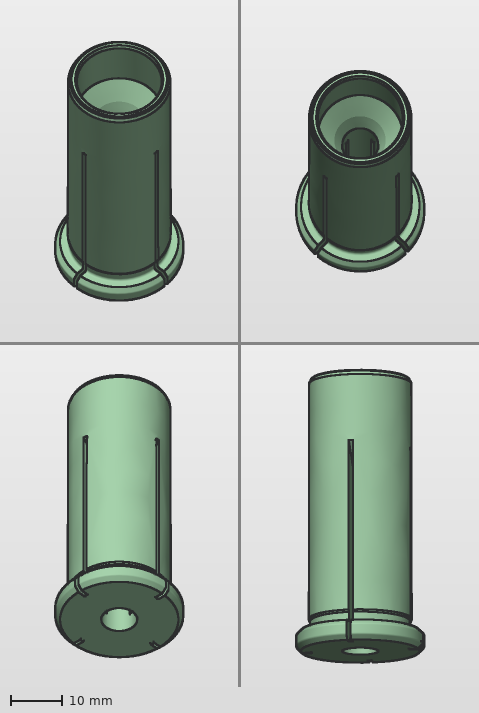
import cadquery as cq
import math

height = 54.0
flange_radius = 25.0 / 2
body_top_radius = 20.0 / 2
body_base_radius = 10.05

flange_height = 4.0
flange_chamfer = 0.95
flange_edge_round = 0.55

neck_radius = 9.85
neck_fillet = 0.5
neck_top = 5.9
body_base = 6.3

rim_radius = 9.3
rim_round_radius = 9.6
rim_round_base = 53.8
rim_chamfer_base = 53.05
rim_inner_width = 0.3
rim_inner_depth = 0.6

socket_radius = 16.5 / 2
socket_floor = 44.15
seat_radius = 10.0 / 2
bore_radius = 7.0 / 2
seat_slope = 45.0
throat_slope = 60.0

slot_count = 4
slot_width = 0.8
slot_top = 39.95
slot_roof_slope = 45.0
slot_floor_radius = 9.85
slot_floor_rise = 3.9
slot_overrun = 1.1


def rise(run, slope):
    """Height gained over a horizontal run at a slope in degrees."""
    return run * math.tan(math.radians(slope))


def make_sleeve():
    """Revolve the outer and inner profile of the flanged sleeve."""
    seat_bottom = socket_floor - rise(socket_radius - seat_radius, seat_slope)
    throat_bottom = seat_bottom - rise(seat_radius - bore_radius, throat_slope)
    chamfered_radius = flange_radius - flange_chamfer
    flange_side_top = flange_height - flange_chamfer

    side_setback = flange_edge_round * math.tan(math.radians(22.5))
    chamfer_setback = side_setback * math.sqrt(0.5)
    round_end_radius = flange_radius - chamfer_setback
    fillet_mid = neck_fillet * (1 - math.sqrt(0.5))
    round_mid_radius = flange_radius - flange_edge_round * (1 - math.cos(math.radians(22.5)))
    round_mid_rise = flange_edge_round * math.sin(math.radians(22.5)) - side_setback

    profile = (
        cq.Workplane("XZ")
        .moveTo(bore_radius, 0)
        .lineTo(chamfered_radius, 0)
        .lineTo(round_end_radius, flange_chamfer - chamfer_setback)
        .threePointArc(
            (round_mid_radius, flange_chamfer - round_mid_rise),
            (flange_radius, flange_chamfer + side_setback),
        )
        .lineTo(flange_radius, flange_side_top - side_setback)
        .threePointArc(
            (round_mid_radius, flange_side_top + round_mid_rise),
            (round_end_radius, flange_side_top + chamfer_setback),
        )
        .lineTo(chamfered_radius, flange_height)
        .lineTo(neck_radius + neck_fillet, flange_height)
        .threePointArc(
            (neck_radius + fillet_mid, flange_height + fillet_mid),
            (neck_radius, flange_height + neck_fillet),
        )
        .lineTo(neck_radius, neck_top)
        .lineTo(body_base_radius, body_base)
        .lineTo(body_top_radius, rim_chamfer_base)
        .lineTo(rim_round_radius, rim_round_base)
        .lineTo(rim_radius, height)
        .lineTo(socket_radius + rim_inner_width, height)
        .lineTo(socket_radius, height - rim_inner_depth)
        .lineTo(socket_radius, socket_floor)
        .lineTo(seat_radius, seat_bottom)
        .lineTo(bore_radius, throat_bottom)
        .close()
    )
    return profile.revolve(360, (0, 0, 0), (0, 1, 0))


def make_slot():
    """One radial slot on +X: its roof falls and its floor rises towards the bore."""
    inner = bore_radius - slot_overrun
    outer = flange_radius + slot_overrun
    floor_gradient = slot_floor_rise / (slot_floor_radius - bore_radius)
    roof_inner = slot_top - rise(body_top_radius - inner, slot_roof_slope)
    roof_outer = slot_top + rise(outer - body_top_radius, slot_roof_slope)
    return (
        cq.Workplane("XZ")
        .polyline([
            (inner, floor_gradient * (slot_floor_radius - inner)),
            (outer, floor_gradient * (slot_floor_radius - outer)),
            (outer, roof_outer),
            (inner, roof_inner),
        ])
        .close()
        .extrude(slot_width / 2, both=True)
    )


result = make_sleeve()
slot = make_slot()
for index in range(slot_count):
    angle = index * 360 / slot_count
    result = result.cut(slot.rotate((0, 0, 0), (0, 0, 1), angle))